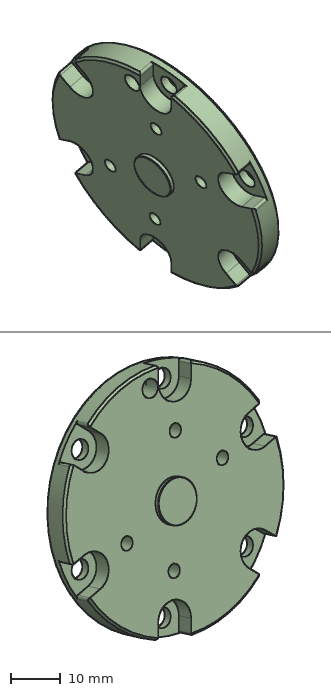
import cadquery as cq
import math

disc_diameter = 57.0
disc_thickness = 6.0
disc_chamfer = 0.5
overall_depth = 8.0
boss_height = (overall_depth - disc_thickness) / 2
front_boss_diameter = 10.0
back_boss_diameter = 18.0
boss_chamfer = 0.1

slot_count = 6
slot_width = 8.45
slot_depth = 4.0
slot_rim_fillet = 0.5
mount_radius = 24.5
mount_hole_diameter = 4.3
first_slot_angle = 30.0

locating_hole_diameter = 4.0
locating_hole_angle = 105.0

small_hole_diameter = 2.95
small_hole_radius = 14.35
small_hole_angles = (31.0, 89.4, 211.0, 269.4)

front_y = -disc_thickness / 2
back_y = disc_thickness / 2


def cylinder(diameter, start_y, end_y, x=0.0, z=0.0):
    """Cylinder along +Y from start_y to end_y, centred on (x, z)."""
    return cq.Workplane(
        cq.Solid.makeCylinder(
            diameter / 2, end_y - start_y, cq.Vector(x, start_y, z), cq.Vector(0, 1, 0)
        )
    )


def through_hole(diameter, circle_radius, angle):
    """Cutter through the disc at a polar position about its axis."""
    x = circle_radius * math.cos(math.radians(angle))
    z = circle_radius * math.sin(math.radians(angle))
    return cylinder(diameter, front_y, back_y, x, z)


def mounting_slot(angle):
    """Round-ended slot running outwards through the rim."""
    run_out = disc_diameter / 2
    round_end = cylinder(slot_width, front_y, front_y + slot_depth, mount_radius)
    channel = cq.Workplane("XY").box(run_out, slot_depth, slot_width, centered=(False, False, True))
    channel = channel.translate((mount_radius, front_y, 0))
    return round_end.union(channel).rotate((0, 0, 0), (0, 1, 0), -angle)


result = cylinder(disc_diameter, front_y, back_y).faces("<Y or >Y").edges().chamfer(disc_chamfer)

for index in range(slot_count):
    slot_angle = first_slot_angle + index * 360 / slot_count
    result = result.cut(mounting_slot(slot_angle))
    result = result.cut(through_hole(mount_hole_diameter, mount_radius, slot_angle))

rim_zone = disc_diameter / 2 - disc_chamfer / 2
slot_rim_edges = result.edges("|Y").filter(
    lambda edge: math.hypot(edge.Center().x, edge.Center().z) > rim_zone and edge.Length() < slot_depth
)
result = slot_rim_edges.fillet(slot_rim_fillet)

result = result.cut(through_hole(locating_hole_diameter, mount_radius, locating_hole_angle))
for hole_angle in small_hole_angles:
    result = result.cut(through_hole(small_hole_diameter, small_hole_radius, hole_angle))

front_boss = cylinder(front_boss_diameter, front_y - boss_height, front_y)
back_boss = cylinder(back_boss_diameter, back_y, back_y + boss_height)
result = result.union(front_boss.faces("<Y").chamfer(boss_chamfer))
result = result.union(back_boss.faces(">Y").chamfer(boss_chamfer))